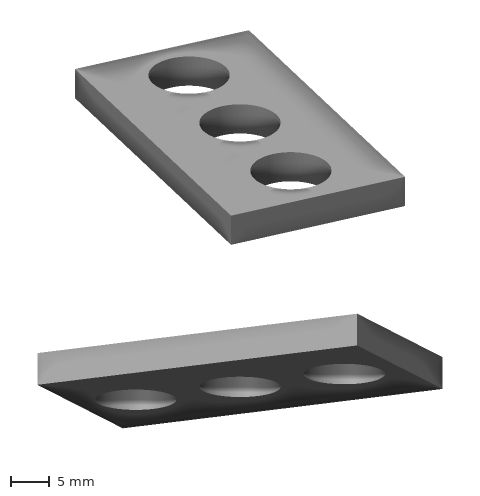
import cadquery as cq

length = 46.0
width = 25.0
thickness = 4.25

hole_diameter = 10.5
hole_spacing = 15.0
hole_count = 3

plate = cq.Workplane("XY").box(length, width, thickness)

result = (
    plate.faces(">Z")
    .workplane()
    .rarray(hole_spacing, 0.45, hole_count, 1)
    .hole(hole_diameter)
)